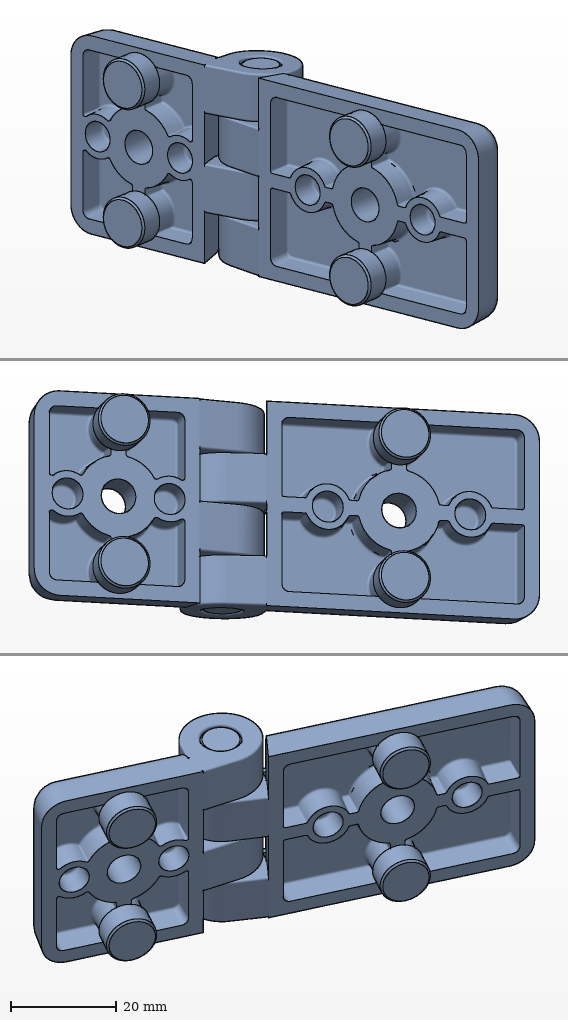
import cadquery as cq
import math

DRAFT = 3.0
BARREL_R = 8.0
AXIS_Y = 9.0
BARREL_EDGE_R = 0.4
KNUCKLE_PITCH = 10.0
KNUCKLE_GAP = 0.2
LEAF_HEIGHT = 4 * KNUCKLE_PITCH
LEAF_SHIFT = KNUCKLE_GAP / 2
LEAF_THICKNESS = 8.5
LEAF_INNER_X = 6.5
LEAF_INNER_TOP_X = 8.8
CORNER_R = 5.0
FRONT_EDGE_R = 3.5
SIDE_HEIGHT = LEAF_THICKNESS - FRONT_EDGE_R
WEB_R = 1.0

RIM = 3.0
POCKET_DEPTH = 4.95
POCKET_CORNER_R = 1.5
JUNCTION_R = 0.5
FLOOR_R = 0.5
RIB_WIDTH = 3.0
CENTRE_BOSS_R = 8.0
SMALL_BOSS_R = 4.5
SCREW_HOLE_D = 6.7
BLIND_HOLE_D = 6.0

STUD_D = 10.1
STUD_LENGTH = 4.95
STUD_CHAMFER = 0.4
STUD_OFFSET = 14.0

PIN_D = 8.0
PIN_LENGTH = 38.0
PIN_CHAMFER = 0.4
BORE_EDGE_R = 0.4

LONG_LEAF = (60.0, 32.5, 14.0)
SHORT_LEAF = (39.0, 22.5, 10.0)


def back_plane(x=0, y=0, z=0):
    """Sketch plane parallel to the mounting plane: local x is X, local y is -Z, normal is +Y."""
    return cq.Workplane(cq.Plane(origin=(x, y, z), xDir=(1, 0, 0), normal=(0, 1, 0)))


def drafted_slab(x_start, x_end, inset=0.0):
    """Full-height block whose upper and lower sides lean inwards with the draft towards +Y."""
    half = LEAF_HEIGHT / 2 - inset
    y_low = -BARREL_R
    y_high = AXIS_Y + 2 * BARREL_R
    half_low = half - y_low * math.tan(math.radians(DRAFT))
    half_high = half - y_high * math.tan(math.radians(DRAFT))
    outline = [(y_low, -half_low), (y_high, -half_high), (y_high, half_high), (y_low, half_low)]
    return (cq.Workplane("YZ").workplane(offset=x_start).polyline(outline).close()
            .extrude(x_end - x_start).translate((0, 0, LEAF_SHIFT)))


def plate(length):
    """Leaf plate with a sloped inner end, round outer corners and a round front edge."""
    top_length = length - LEAF_THICKNESS * math.tan(math.radians(DRAFT))
    outline = [(LEAF_INNER_X, 0), (length, 0), (top_length, LEAF_THICKNESS), (LEAF_INNER_TOP_X, LEAF_THICKNESS)]
    block = cq.Workplane("XY").polyline(outline).close().extrude(LEAF_HEIGHT, both=True)
    block = block.intersect(drafted_slab(0, length))
    outer_corners = cq.selectors.BoxSelector((top_length, LEAF_THICKNESS / 4, -LEAF_HEIGHT),
                                             (length, LEAF_THICKNESS * 3 / 4, LEAF_HEIGHT))
    block = block.edges(outer_corners).edges("not |Z").fillet(CORNER_R)
    return block.faces(">Y").edges("not <X").fillet(FRONT_EDGE_R)


def knuckle_outline():
    """Barrel with a straight underside that runs tangentially from the leaf to the barrel.

    The underside runs on below the mounting plane, where the knuckle is trimmed later.
    """
    reach = math.hypot(LEAF_INNER_X, AXIS_Y)
    tangent_length = math.sqrt(reach ** 2 - BARREL_R ** 2)
    slope = math.atan2(AXIS_Y, LEAF_INNER_X) - math.asin(BARREL_R / reach)
    tangent_point = (LEAF_INNER_X - tangent_length * math.cos(slope), tangent_length * math.sin(slope))
    run_out = (LEAF_INNER_X + BARREL_R * math.cos(slope), -BARREL_R * math.sin(slope))
    return (cq.Workplane("XY").moveTo(*run_out).lineTo(*tangent_point)
            .threePointArc((-BARREL_R * math.sqrt(0.5), AXIS_Y + BARREL_R * math.sqrt(0.5)), (BARREL_R, AXIS_Y))
            .lineTo(BARREL_R, SIDE_HEIGHT).lineTo(run_out[0], SIDE_HEIGHT).close())


def knuckle(z_bottom):
    """One knuckle with rounded end rims, drafted where it reaches the end of the leaf."""
    length = KNUCKLE_PITCH - KNUCKLE_GAP
    body = knuckle_outline().extrude(length).translate((0, 0, z_bottom))
    body = body.intersect(drafted_slab(-BARREL_R - 1, 2 * LEAF_INNER_X + BARREL_R))
    body = body.edges("%CIRCLE or %ELLIPSE").fillet(BARREL_EDGE_R)
    below_mounting_plane = (cq.Workplane("XY").box(6 * BARREL_R, BARREL_R, 2 * LEAF_HEIGHT)
                            .translate((0, -BARREL_R / 2, 0)))
    return body.cut(below_mounting_plane)


def web(z_bottom):
    """Concave fillet between a barrel and the flat part of the front face."""
    centre_y = LEAF_THICKNESS + WEB_R
    centre_x = math.sqrt((BARREL_R + WEB_R) ** 2 - (centre_y - AXIS_Y) ** 2)
    share = BARREL_R / (BARREL_R + WEB_R)
    on_barrel = (centre_x * share, AXIS_Y + (centre_y - AXIS_Y) * share)
    mid_angle = (math.atan2(on_barrel[1] - centre_y, on_barrel[0] - centre_x) % math.tau + 1.5 * math.pi) / 2
    middle = (centre_x + WEB_R * math.cos(mid_angle), centre_y + WEB_R * math.sin(mid_angle))
    body = (cq.Workplane("XY").moveTo(*on_barrel).threePointArc(middle, (centre_x, LEAF_THICKNESS))
            .lineTo(centre_x, LEAF_THICKNESS - WEB_R).lineTo(on_barrel[0] - WEB_R, LEAF_THICKNESS - WEB_R)
            .lineTo(on_barrel[0] - WEB_R, on_barrel[1]).close()
            .extrude(KNUCKLE_PITCH - KNUCKLE_GAP).translate((0, 0, z_bottom)))
    return body.intersect(drafted_slab(0, 2 * BARREL_R, FRONT_EDGE_R))


def round_floor(cavity):
    """Round the floor edges of a cavity that is open at the mounting plane."""
    return cavity.faces(">Y").edges().fillet(FLOOR_R)


def pockets(length, hole_x, blind_offset):
    """Four pockets of one leaf: a drafted window less the cross ribs and the bosses."""
    x_start = LEAF_INNER_X + RIM
    x_end = length - RIM
    centre = (x_start + x_end) / 2
    hole = hole_x - centre
    small_bosses = [(hole - blind_offset, 0), (hole + blind_offset, 0), (hole, -STUD_OFFSET), (hole, STUD_OFFSET)]
    outline = (
        cq.Sketch().rect(x_end - x_start, LEAF_HEIGHT - 2 * RIM)
        .rect(length, RIB_WIDTH, mode="s")
        .push([(hole, 0)]).rect(RIB_WIDTH, LEAF_HEIGHT, mode="s").circle(CENTRE_BOSS_R, mode="s").reset()
        .push(small_bosses).circle(SMALL_BOSS_R, mode="s").reset().clean()
    )
    window_corners = "((>X or <X) and (>Y or <Y))"
    outline = outline.vertices("not " + window_corners).fillet(JUNCTION_R).reset()
    outline = outline.vertices(window_corners).fillet(POCKET_CORNER_R).reset()
    volume = back_plane(centre, 0, LEAF_SHIFT).placeSketch(outline).extrude(POCKET_DEPTH, taper=DRAFT)
    return [round_floor(pocket) for pocket in volume.solids().all()]


def blind_hole(x):
    """Drafted blind hole as deep as the pockets."""
    hole = back_plane(x, 0, LEAF_SHIFT).circle(BLIND_HOLE_D / 2).extrude(POCKET_DEPTH, taper=DRAFT)
    return round_floor(hole)


def round_bore_edge(body):
    """Round the bore rim on the outer face of the leaf's end knuckle."""
    reach = (PIN_D / 2 + BARREL_R) / 2
    rim_zone = cq.selectors.BoxSelector((-reach, AXIS_Y - reach, -2 * KNUCKLE_PITCH),
                                        (reach, AXIS_Y + reach, -1.5 * KNUCKLE_PITCH), boundingbox=True)
    return body.edges(rim_zone).fillet(BORE_EDGE_R)


def leaf(length, hole_x, blind_offset):
    """Leaf that extends towards +X, with its two knuckles on the hinge axis."""
    body = plate(length)
    for z_slot in (-2 * KNUCKLE_PITCH, 0):
        z_bottom = z_slot + KNUCKLE_GAP / 2
        body = body.union(knuckle(z_bottom)).union(web(z_bottom))
    bore = cq.Workplane("XY").center(0, AXIS_Y).circle(PIN_D / 2).extrude(LEAF_HEIGHT, both=True)
    screw_hole = back_plane(hole_x, 0, LEAF_SHIFT).circle(SCREW_HOLE_D / 2).extrude(LEAF_THICKNESS)
    body = round_bore_edge(body.cut(bore)).cut(screw_hole)
    for pocket in pockets(length, hole_x, blind_offset):
        body = body.cut(pocket)
    for side in (-1, 1):
        body = body.cut(blind_hole(hole_x + side * blind_offset))
    return body


def studs(hole_x):
    """Pair of locating studs standing on the mounting face of a leaf, above and below its screw hole."""
    pair = []
    for side in (-1, 1):
        stud = back_plane(hole_x, -STUD_LENGTH, LEAF_SHIFT + side * STUD_OFFSET).circle(STUD_D / 2)
        pair.append(stud.extrude(STUD_LENGTH).faces("<Y").chamfer(STUD_CHAMFER))
    return pair


def half_turn(body):
    """Swing a body from the +X side of the hinge to the -X side, upside down."""
    return body.rotate((0, 0, 0), (0, 1, 0), 180)


def hinge_pin():
    """Pin through all four knuckles, ending just inside the bore rims."""
    pin = cq.Workplane("XY").center(0, AXIS_Y).circle(PIN_D / 2).extrude(PIN_LENGTH / 2, both=True)
    return pin.faces("<Z or >Z").chamfer(PIN_CHAMFER)


long_leaf = leaf(*LONG_LEAF)
short_leaf = half_turn(leaf(*SHORT_LEAF))
pin = hinge_pin()
long_studs = studs(LONG_LEAF[1])
short_studs = [half_turn(stud) for stud in studs(SHORT_LEAF[1])]

bodies = [long_leaf, short_leaf, pin, *long_studs, *short_studs]
result = cq.Compound.makeCompound([body.val() for body in bodies])